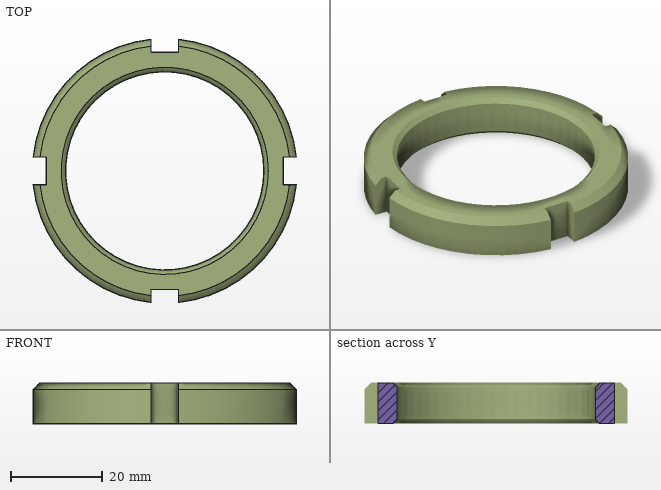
import cadquery as cq

outer_diameter = 58.0
bore_diameter = 43.38
height = 9.0
rim_chamfer = 1.5
bore_chamfer = 1.0
slot_width = 6.0
slot_depth = 3.0
slot_count = 4


def make_ring():
    """Ring standing on Z = 0, with its top outer edge and both bore edges chamfered."""
    disc = cq.Workplane("XY").circle(outer_diameter / 2).extrude(height)
    disc = disc.faces(">Z").edges().chamfer(rim_chamfer)
    bored = disc.cut(cq.Workplane("XY").circle(bore_diameter / 2).extrude(height))
    bore_edges = cq.selectors.RadiusNthSelector(0)
    return bored.edges("%CIRCLE").edges(bore_edges).chamfer(bore_chamfer)


def make_slot(angle):
    """Full-height cutter for one spanner slot, turned about the Z axis."""
    slot_floor_radius = outer_diameter / 2 - slot_depth
    cutter_length = 2 * slot_depth
    cutter = cq.Workplane("XY").box(cutter_length, slot_width, height, centered=(False, True, False))
    return cutter.translate((slot_floor_radius, 0, 0)).rotate((0, 0, 0), (0, 0, 1), angle)


result = make_ring()
for index in range(slot_count):
    result = result.cut(make_slot(index * 360 / slot_count))